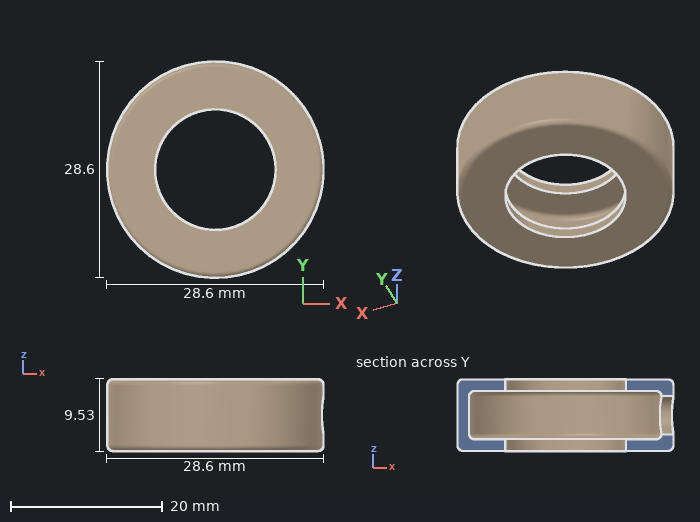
import cadquery as cq

outer_diameter = 28.575
height = 9.525
bore_diameter = 15.875
wall = 1.5875
edge_radius = wall / 2
side_hole_diameter = 4.98

outer_radius = outer_diameter / 2
cavity_diameter = outer_diameter - 2 * wall
cavity_height = height - 2 * wall


def rounded_disc(diameter, thickness):
    """Disc centred on the origin, axis along Z, with both rims rounded."""
    disc = cq.Workplane("XY").circle(diameter / 2).extrude(thickness / 2, both=True)
    return disc.edges("%CIRCLE").fillet(edge_radius)


def axial_bore():
    """Cylinder that opens both end faces along Z."""
    return cq.Workplane("XY").circle(bore_diameter / 2).extrude(height, both=True)


def side_hole():
    """Radial hole from the centre out through the rim on the +X side."""
    return cq.Workplane("YZ").circle(side_hole_diameter / 2).extrude(outer_radius + wall)


ring = rounded_disc(outer_diameter, height)
ring = ring.cut(rounded_disc(cavity_diameter, cavity_height))
ring = ring.cut(axial_bore())

result = ring.cut(side_hole())